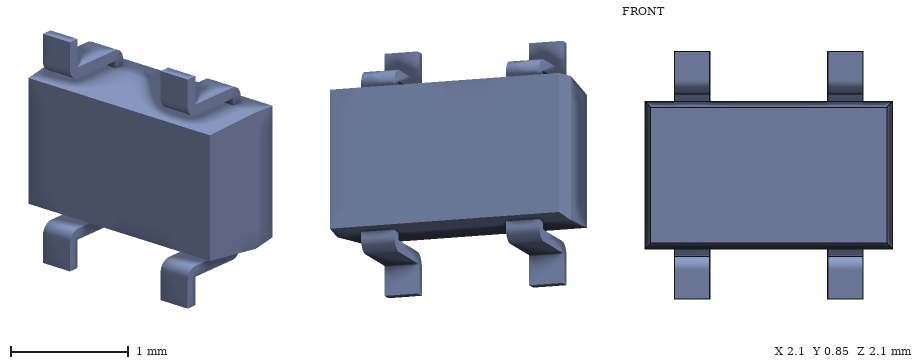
import cadquery as cq
import math

body_length = 2.1
body_width = 1.25
total_depth = 0.85
foot_standoff = 0.05
parting_y = 0.6
draft_angle = 5.0

lead_span = 2.1
lead_pitch = 1.3
lead_width = 0.3
lead_thickness = 0.1
foot_length = 0.25
inner_bend_radius = 0.01
lead_embed = 0.1
outer_bend_radius = inner_bend_radius + lead_thickness


def tapered_half(depth):
    """Half of the body, from the parting plane to a face at signed Y depth."""
    inset = abs(depth) * math.tan(math.radians(draft_angle))
    return (
        cq.Workplane("XZ", origin=(0, parting_y, 0))
        .rect(body_length, body_width)
        .workplane(offset=-depth)
        .rect(body_length - 2 * inset, body_width - 2 * inset)
        .loft(ruled=True)
    )


def upper_lead(center_x):
    """Lead leaving the +Z side: stub, riser toward -Y, then foot along +Z."""
    tip_z = lead_span / 2
    riser_outer_z = tip_z - foot_length - inner_bend_radius
    riser_inner_z = riser_outer_z - lead_thickness
    root_z = body_width / 2 - lead_embed
    stub_back_y = parting_y + lead_thickness
    outline = [
        (0, tip_z),
        (0, riser_inner_z),
        (parting_y, riser_inner_z),
        (parting_y, root_z),
        (stub_back_y, root_z),
        (stub_back_y, riser_outer_z),
        (lead_thickness, riser_outer_z),
        (lead_thickness, tip_z),
    ]
    lead = (
        cq.Workplane("YZ", origin=(center_x, 0, 0))
        .polyline(outline)
        .close()
        .extrude(lead_width / 2, both=True)
    )

    def round_edge(solid, y, z, radius):
        corner = cq.selectors.NearestToPointSelector((center_x, y, z))
        return solid.edges("|X").edges(corner).fillet(radius)

    lead = round_edge(lead, 0, riser_inner_z, outer_bend_radius)
    lead = round_edge(lead, stub_back_y, riser_outer_z, outer_bend_radius)
    lead = round_edge(lead, lead_thickness, riser_outer_z, inner_bend_radius)
    return round_edge(lead, parting_y, riser_inner_z, inner_bend_radius)


result = tapered_half(total_depth - parting_y).union(tapered_half(foot_standoff - parting_y))

for lead_x in (-lead_pitch / 2, lead_pitch / 2):
    lead = upper_lead(lead_x)
    result = result.union(lead).union(lead.mirror("XY"))